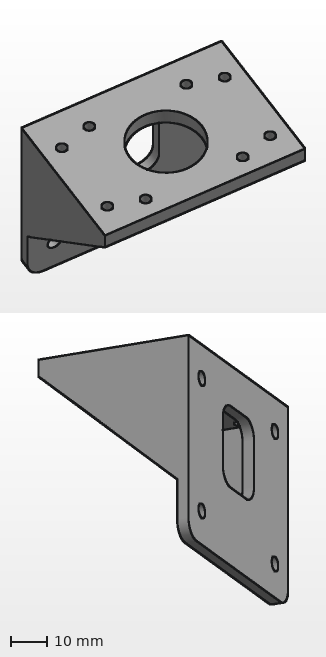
import cadquery as cq

depth = 46.0
width = 64.0
height = 59.0

top_thickness = 5.0
wall_thickness = 3.5

gusset_bottom_z = -42.0
bottom_corner_radius = 5.0

motor_clearance = 21.0
motor_center_x = wall_thickness + motor_clearance
motor_opening_diameter = 23.0
motor_hole_diameter = 3.2
inner_pattern = (31.0, 31.0)
outer_pattern = (25.0, 52.0)

window_width = 20.0
window_height = 24.0
window_corner_radius = 5.0
window_center_z = -24.0
mounting_hole_diameter = 4.2
mounting_pattern = (47.0, 39.0)


def make_shell():
    """Side profile extruded over the full width, hollowed between the gussets."""
    body = (
        cq.Workplane("XZ")
        .polyline([
            (0, 0),
            (depth, 0),
            (depth, -top_thickness),
            (wall_thickness, gusset_bottom_z),
            (wall_thickness, -height),
            (0, -height),
        ])
        .close()
        .extrude(width / 2, both=True)
    )
    cavity = (
        cq.Workplane("XY", origin=(wall_thickness, 0, -top_thickness))
        .rect(depth, width - 2 * wall_thickness)
        .extrude(-height)
        .translate((depth / 2, 0, 0))
    )
    return body.cut(cavity)


def round_bottom_corners(body):
    """Round the two lower corners of the mounting plate."""
    return body.faces("<Z").edges("|X").fillet(bottom_corner_radius)


def motor_plate_cutter():
    """Opening and screw holes through the motor plate."""
    plane = cq.Workplane("XY").center(motor_center_x, 0)
    cutter = plane.circle(motor_opening_diameter / 2).extrude(-top_thickness)
    for pitch_x, pitch_y in (inner_pattern, outer_pattern):
        holes = (
            plane.rect(pitch_x, pitch_y, forConstruction=True)
            .vertices()
            .circle(motor_hole_diameter / 2)
            .extrude(-top_thickness)
        )
        cutter = cutter.union(holes)
    return cutter


def mounting_plate_cutter():
    """Rounded window and screw holes through the mounting plate."""
    plane = cq.Workplane("YZ")
    window = (
        plane.center(0, window_center_z)
        .rect(window_width, window_height)
        .extrude(wall_thickness)
        .edges("|X")
        .fillet(window_corner_radius)
    )
    holes = (
        plane.center(0, -height / 2)
        .rect(*mounting_pattern, forConstruction=True)
        .vertices()
        .circle(mounting_hole_diameter / 2)
        .extrude(wall_thickness)
    )
    return window.union(holes)


bracket = round_bottom_corners(make_shell())
result = bracket.cut(motor_plate_cutter()).cut(mounting_plate_cutter())